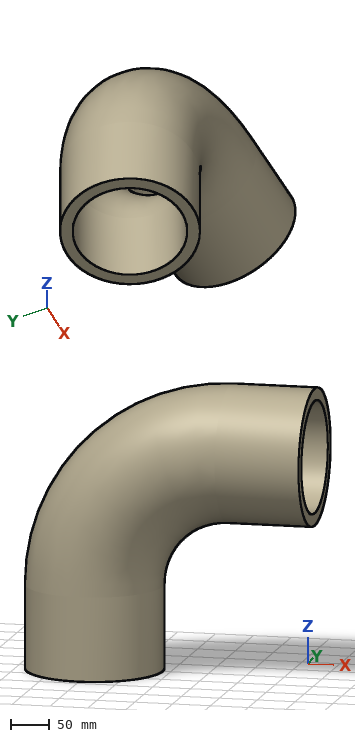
import cadquery as cq

overall_size = 380.5
outer_diameter = 180.0
bore_diameter = 147.3
bend_radius = outer_diameter

spigot_length = overall_size - outer_diameter / 2 - bend_radius


def elbow(diameter):
    """Solid round elbow rising along Z from the origin, then turning to +X."""
    lower_spigot = cq.Workplane("XY").circle(diameter / 2).extrude(spigot_length)
    bend = (
        cq.Workplane("XY", origin=(0, 0, spigot_length))
        .circle(diameter / 2)
        .revolve(90, (bend_radius, 0, 0), (bend_radius, 1, 0))
    )
    upper_spigot = (
        cq.Workplane("YZ", origin=(bend_radius, 0, spigot_length + bend_radius))
        .circle(diameter / 2)
        .extrude(spigot_length)
    )
    return lower_spigot.union(bend).union(upper_spigot)


result = elbow(outer_diameter).cut(elbow(bore_diameter))